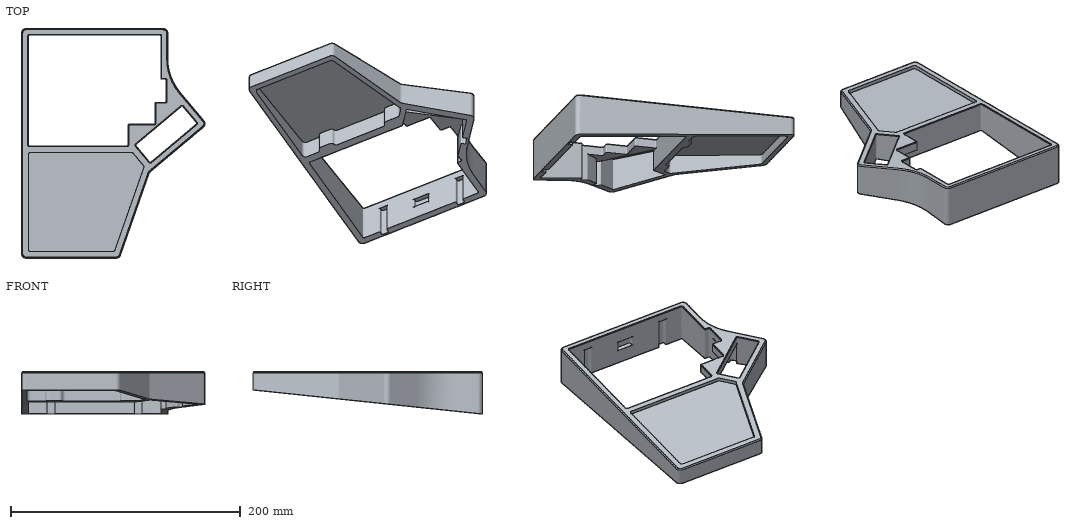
import cadquery as cq
import math

depth = 200.0
height = 37.0
slope = 6.0
wall = 6.0
corner_radius = 4.0
field_radius = 1.0
thumb_radius = 0.8
outer_chamfer = 1.0
opening_chamfer = 0.5
deck_thickness = 8.0
deck_bottom = height - deck_thickness
above = height + 2.0
below = -2.0

key_pitch = 19.0
back_width = 127.5
field_left = wall
field_right = 121.5
field_front = 97.8
field_back = 194.5
field_middle = (field_left + field_right) / 2
notch_right = 126.0
notch_back = 156.0
step_right = 116.5
step_inner = 92.8
step_back = field_front + 2 * key_pitch
step_front = field_front + key_pitch

thumb_angle = math.radians(40)
thumb_x = 126.0
thumb_y = 108.0
thumb_length = 53.5
thumb_width = 20.2
blend_radius = 45.5

palm_back = 92.0
palm_depth = 3.2
palm_radius = 1.5
flank_foot = 85.2
flank_angle = math.radians(19.3)
palm_shell = 4.8
palm_hollow_back = 91.2
palm_hollow_radius = 3.2
pad_reach = 4.0
pad_radius = 2.8
left_pad = (21.5, 35.8)
right_pad = (86.5, 112.0)

recess_depth = 4.0
relief_width = 6.5
relief_spacing = 4 * key_pitch
socket_width = 14.0
socket_bottom = 14.5
socket_top = 23.5
thumb_relief_across = 13.8


def thumb_point(along, across):
    """Point at the given distances from the thumb centre, along and across its long side."""
    return (
        thumb_x + along * math.cos(thumb_angle) - across * math.sin(thumb_angle),
        thumb_y + along * math.sin(thumb_angle) + across * math.cos(thumb_angle),
    )


def thumb_across_at_x(along, x):
    """Point on the line square to the thumb's long side, `along` from its centre, at a given x."""
    across = (thumb_x + along * math.cos(thumb_angle) - x) / math.sin(thumb_angle)
    return thumb_point(along, across)


def thumb_across_at_y(along, y):
    """Point on the same kind of line at a given y."""
    across = (y - thumb_y - along * math.sin(thumb_angle)) / math.cos(thumb_angle)
    return thumb_point(along, across)


def flank_x(y, inset=0.0):
    """X of the slanted flank at y, moved inwards by inset."""
    return flank_foot + y * math.tan(flank_angle) - inset / math.cos(flank_angle)


def flank_meets(start, direction, inset=0.0):
    """Point where a line from start along direction (an angle) crosses the flank."""
    gap = flank_x(start[1], inset) - start[0]
    closing = math.cos(direction) - math.sin(direction) * math.tan(flank_angle)
    travel = gap / closing
    return (start[0] + travel * math.cos(direction), start[1] + travel * math.sin(direction))


def prism(points, bottom, top):
    return cq.Workplane("XY").workplane(offset=bottom).polyline(points).close().extrude(top - bottom)


def round_corner(solid, point, radius):
    """Round the upright edge that stands at the given point."""
    near = 0.02
    box = cq.selectors.BoxSelector(
        (point[0] - near, point[1] - near, -depth), (point[0] + near, point[1] + near, depth)
    )
    return solid.edges("|Z").edges(box).fillet(radius)


half_length = thumb_length / 2
half_width = thumb_width / 2
square_to_thumb = thumb_angle - math.pi / 2


def make_body():
    end = half_length + wall
    side = -half_width - wall
    blend_corner = thumb_across_at_x(end, back_width)
    waist = flank_meets(thumb_point(0, side), thumb_angle)
    outline = [
        (0, 0), (flank_foot, 0), waist, thumb_point(end, side),
        blend_corner, (back_width, depth), (0, depth),
    ]
    body = prism(outline, 0, height)
    for point in outline:
        body = round_corner(body, point, blend_radius if point == blend_corner else corner_radius)
    body = body.faces(">Z").edges().chamfer(outer_chamfer)
    rise = depth * math.tan(math.radians(slope))
    wedge = [(0, below), (depth, below), (depth, 0), (0, rise)]
    underside = cq.Workplane("YZ").polyline(wedge).close().extrude(depth)
    return body.cut(underside)


def make_key_opening():
    outline = [
        (field_left, field_front), (field_left, field_back),
        (field_right, field_back), (field_right, notch_back),
        (notch_right, notch_back), (notch_right, step_back),
        (step_right, step_back), (step_right, step_front),
        (step_inner, step_front), (step_inner, field_front),
    ]
    return prism(outline, below, above).edges("|Z").fillet(field_radius)


def make_thumb_opening():
    outline = [
        thumb_point(sx * half_length, sy * half_width)
        for sx, sy in ((-1, -1), (1, -1), (1, 1), (-1, 1))
    ]
    return prism(outline, below, above).edges("|Z").fillet(thumb_radius)


def make_key_hollow():
    """Hollow below the deck that joins the key field to the thumb cluster."""
    outline = [
        (field_left, field_front), (field_left, field_back),
        (field_right, field_back), (field_right, notch_back),
        (notch_right, notch_back), thumb_across_at_x(half_length, notch_right),
        thumb_point(half_length, -half_width), thumb_point(-half_length, -half_width),
        thumb_across_at_y(-half_length, field_front),
    ]
    return prism(outline, below, deck_bottom).edges("|Z").fillet(field_radius)


def palm_outline(inset, back):
    """Palm rest outline, inset from the flank, the front, the left side and the thumb opening."""
    bend = thumb_across_at_y(-half_length - inset, back)
    waist = flank_meets(bend, square_to_thumb, inset)
    return [(inset, inset), (flank_x(inset, inset), inset), waist, bend, (inset, back)]


def make_palm_pocket():
    return prism(palm_outline(wall, palm_back), height - palm_depth, above).edges("|Z").fillet(palm_radius)


def make_palm_hollow():
    """Hollow below the palm rest; the right pad on its back wall runs into the slanted thumb wall."""
    hollow = prism(palm_outline(palm_shell, palm_hollow_back), below, deck_bottom)
    hollow = hollow.edges("|Z").fillet(palm_hollow_radius)
    for left, right in (left_pad, right_pad):
        pad = flared_block(right - left, pad_reach, pad_radius, below, deck_bottom)
        pad = pad.rotate((0, 0, 0), (0, 0, 1), 180)
        hollow = hollow.cut(pad.translate(((left + right) / 2, palm_hollow_back, 0)))
    pad_corner = thumb_across_at_y(-half_length - palm_shell, palm_hollow_back - pad_reach)
    return round_corner(hollow, pad_corner, pad_radius)


def flared_block(width, reach, radius, bottom, top):
    """Block on the line y = 0 reaching to +Y, its sides curving out at the root and in at the tip.

    The width is measured at half the reach; the curves stop short of a quarter turn if the reach is small.
    """
    turn = math.acos(max(0.0, 1 - reach / (2 * radius)))
    run = radius * math.sin(turn)
    rise = radius * (1 - math.cos(turn))
    bow_run = radius * math.sin(turn / 2)
    bow_rise = radius * (1 - math.cos(turn / 2))
    half = width / 2
    profile = (
        cq.Workplane("XY").workplane(offset=bottom)
        .moveTo(0, 0)
        .lineTo(half + run, 0)
        .threePointArc((half + run - bow_run, bow_rise), (half, rise))
    )
    if reach > 2 * radius:
        profile = profile.lineTo(half, reach - rise)
    return (
        profile
        .threePointArc((half - run + bow_run, reach - bow_rise), (half - run, reach))
        .lineTo(0, reach)
        .close().extrude(top - bottom)
        .mirror("YZ", union=True)
    )


def back_recess(centre, width, bottom, top):
    block = flared_block(width, recess_depth, field_radius, bottom, top)
    return block.translate((centre, field_back, 0))


def thumb_recess():
    """Relief in the end wall of the thumb cluster, beside the thumb opening."""
    block = flared_block(relief_width, recess_depth, field_radius, below, deck_bottom)
    block = block.rotate((0, 0, 0), (0, 0, 1), math.degrees(square_to_thumb))
    centre = thumb_point(half_length, thumb_relief_across)
    return block.translate((centre[0], centre[1], 0))


result = make_body().cut(make_key_opening()).cut(make_thumb_opening())
rim_edges = [edge for wire in result.faces(">Z").val().innerWires() for edge in wire.Edges()]
result = result.newObject(rim_edges).chamfer(opening_chamfer)
result = result.cut(make_palm_pocket()).cut(make_palm_hollow()).cut(make_key_hollow())
for side in (-1, 1):
    centre = field_middle + side * relief_spacing / 2
    result = result.cut(back_recess(centre, relief_width, below, deck_bottom))
result = result.cut(back_recess(field_middle, socket_width, socket_bottom, socket_top))
result = result.cut(thumb_recess())